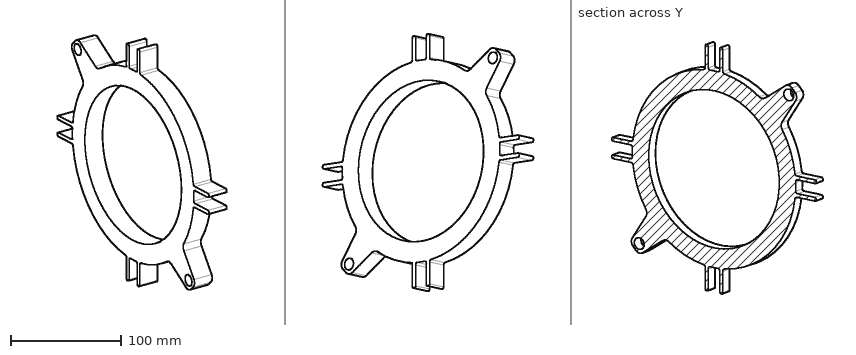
import cadquery as cq
import math

DEPTH = 20.0
INNER_RADIUS = 74.0
OUTER_RADIUS = 93.1

OUTER_SPAN = 232.87
TAB_TIP_RADIUS = OUTER_SPAN / 2
TAB_THICKNESS = 4.0
TAB_GAP = 12.55
TAB_ROOT_FILLET = 2.0
TAB_PAIR_ANGLES = (0, 90, 180, 270)
TAB_ROOT_SPREAD = 15.0

LUG_ANGLES = (135, 315)
LUG_TIP_RADIUS = 128.1
LUG_TIP_HALF_WIDTH = 7.6
LUG_TAPER = math.radians(11)
LUG_TIP_FILLET = 6.0
LUG_ROOT_FILLET = 6.2
LUG_ROOT_SPREAD = 25.0
LUG_HOLE_OFFSET = 85.0
LUG_HOLE_RADIUS = LUG_HOLE_OFFSET * math.sqrt(2)
LUG_HOLE_DIAMETER = 10.6

START_RADIUS = (INNER_RADIUS + OUTER_RADIUS) / 2
ON_SURFACE_TOLERANCE = 0.01


def front_sketch():
    """Sketch plane on the -Y face: local x is X and local y is Z."""
    return cq.Workplane("XZ", origin=(0, -DEPTH / 2, 0))


def disc(center_x, radius):
    """Full-depth cylinder along Y, centred on the X axis."""
    return front_sketch().center(center_x, 0).circle(radius).extrude(-DEPTH)


def turn(body, angle):
    """Turn a body about the ring axis, from +X towards +Z."""
    return body.rotate((0, 0, 0), (0, -1, 0), angle)


def make_tab(side):
    """Tab pointing along +X, above (side = 1) or below (side = -1) the gap."""
    tip_radius = TAB_THICKNESS / 2
    straight_end = TAB_TIP_RADIUS - tip_radius
    middle = side * (TAB_GAP + TAB_THICKNESS) / 2
    low = middle - tip_radius
    high = middle + tip_radius
    return (
        front_sketch()
        .moveTo(START_RADIUS, low)
        .lineTo(straight_end, low)
        .threePointArc((TAB_TIP_RADIUS, middle), (straight_end, high))
        .lineTo(START_RADIUS, high)
        .close()
        .extrude(-DEPTH)
    )


def make_lug():
    """Lug pointing along +X, widening towards the ring."""
    length = LUG_TIP_RADIUS - START_RADIUS
    start_half_width = LUG_TIP_HALF_WIDTH + length * math.tan(LUG_TAPER)
    outline = [
        (START_RADIUS, -start_half_width),
        (LUG_TIP_RADIUS, -LUG_TIP_HALF_WIDTH),
        (LUG_TIP_RADIUS, LUG_TIP_HALF_WIDTH),
        (START_RADIUS, start_half_width),
    ]
    lug = front_sketch().polyline(outline).close().extrude(-DEPTH)
    return lug.faces(">X").edges("|Y").fillet(LUG_TIP_FILLET)


def round_roots(body, angles, spread, fillet_radius):
    """Fillet the corners on the ring's outer surface within a spread of the given angles."""
    corners = []
    for edge in body.edges("|Y").vals():
        middle = edge.Center()
        direction = math.degrees(math.atan2(middle.z, middle.x))
        nearest = min(abs((direction - angle + 180) % 360 - 180) for angle in angles)
        surface_offset = abs(math.hypot(middle.x, middle.z) - OUTER_RADIUS)
        if surface_offset < ON_SURFACE_TOLERANCE and nearest < spread:
            corners.append(edge)
    return body.newObject(corners).fillet(fillet_radius)


def make_blank():
    """Solid disc whose seam line, at the start angle, is buried under a lug."""
    return turn(disc(0, OUTER_RADIUS), LUG_ANGLES[0])


def add_lugs(body):
    for angle in LUG_ANGLES:
        body = body.union(turn(make_lug(), angle))
    return round_roots(body, LUG_ANGLES, LUG_ROOT_SPREAD, LUG_ROOT_FILLET)


def add_tabs(body):
    for angle in TAB_PAIR_ANGLES:
        for side in (1, -1):
            body = body.union(turn(make_tab(side), angle))
    return round_roots(body, TAB_PAIR_ANGLES, TAB_ROOT_SPREAD, TAB_ROOT_FILLET)


def cut_openings(body):
    """Cut the ring's bore and the hole through each lug."""
    body = body.cut(disc(0, INNER_RADIUS))
    for angle in LUG_ANGLES:
        body = body.cut(turn(disc(LUG_HOLE_RADIUS, LUG_HOLE_DIAMETER / 2), angle))
    return body


result = cut_openings(add_tabs(add_lugs(make_blank())))